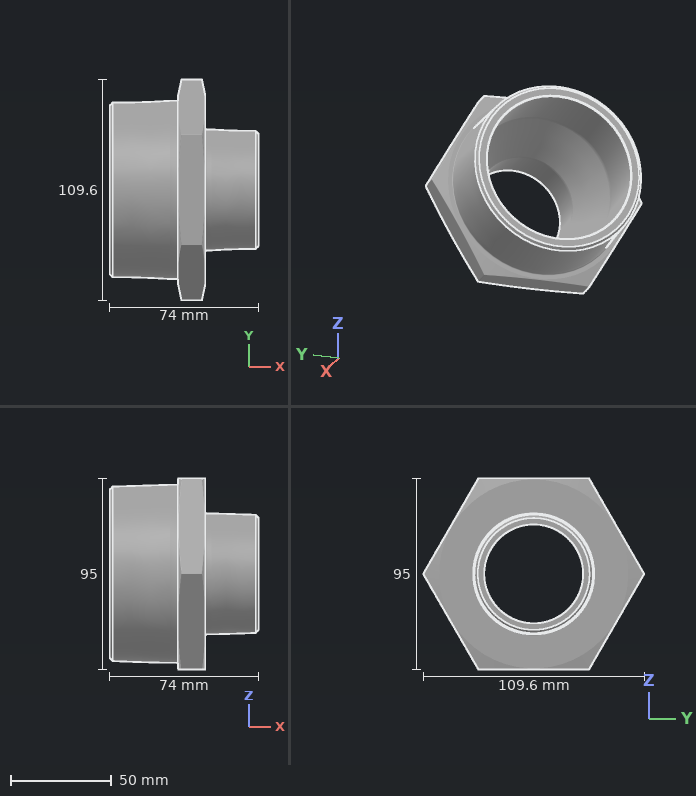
import cadquery as cq
import math

total_length = 74.0
hex_start = 34.0
hex_end = 47.5
large_taper_end = 29.9
small_taper_start = 50.6

large_diameter = 88.5
small_diameter = 60.1
diameter_taper = 1 / 16
end_chamfer = 1.6
root_fillet = 0.5

across_flats = 95.0
hex_face_diameter = 93.8
hex_chamfer_angle = 12.0
hex_edge_round = 0.3
rim_clearance = 1.1

large_bore_diameter = 75.0
small_bore_diameter = 49.0
large_bore_depth = 31.8
bore_cone_half_angle = 30.0
cone_inlet_round = 3.3
cone_outlet_round = 2.2
bore_entry_chamfer = 0.3

selection_margin = 0.1
across_corners = across_flats / math.cos(math.radians(30))


def revolve_about_x(points):
    """Solid of revolution about X from (x, radius) points, with its seam clear of the hexagon corners."""
    profile = cq.Workplane("XZ").polyline(points).close()
    return profile.revolve(360, (0, 0, 0), (1, 0, 0))


def circles_up_to(x, radius):
    """Selector for edges at position x that lie within the given radius."""
    reach = radius + selection_margin
    return cq.selectors.BoxSelector(
        (x - selection_margin, -reach, -reach),
        (x + selection_margin, reach, reach),
        boundingbox=True,
    )


def make_hexagon():
    """Collar with flats at top and bottom, coned at both ends, the edges of its flats rounded."""
    prism = (
        cq.Workplane("YZ")
        .workplane(offset=hex_start)
        .polygon(6, across_corners)
        .extrude(hex_end - hex_start)
    )
    face_radius = hex_face_diameter / 2
    rim_radius = across_corners / 2 + rim_clearance
    rim_depth = (rim_radius - face_radius) * math.tan(math.radians(hex_chamfer_angle))
    turned_envelope = revolve_about_x([
        (hex_start, 0),
        (hex_start, face_radius),
        (hex_start + rim_depth, rim_radius),
        (hex_end - rim_depth, rim_radius),
        (hex_end, face_radius),
        (hex_end, 0),
    ])
    blank = prism.intersect(turned_envelope)
    flats = blank.faces("%PLANE").faces("not |X")
    return flats.edges().fillet(hex_edge_round)


def make_spigots():
    """Both tapered spigots, meeting inside the collar."""
    large_radius = large_diameter / 2
    small_radius = small_diameter / 2
    large_taper_length = large_taper_end - end_chamfer
    small_taper_length = total_length - end_chamfer - small_taper_start
    large_tip_radius = large_radius - large_taper_length * diameter_taper / 2
    small_tip_radius = small_radius - small_taper_length * diameter_taper / 2
    hex_middle = (hex_start + hex_end) / 2
    return revolve_about_x([
        (0, 0),
        (0, large_tip_radius - end_chamfer),
        (end_chamfer, large_tip_radius),
        (large_taper_end, large_radius),
        (hex_middle, large_radius),
        (hex_middle, small_radius),
        (small_taper_start, small_radius),
        (total_length - end_chamfer, small_tip_radius),
        (total_length, small_tip_radius - end_chamfer),
        (total_length, 0),
    ])


def make_bore():
    """Through bore: a wide entry narrowing along a cone with rounded ends."""
    large_radius = large_bore_diameter / 2
    small_radius = small_bore_diameter / 2
    cone_length = (large_radius - small_radius) / math.tan(math.radians(bore_cone_half_angle))
    cone_end = large_bore_depth + cone_length
    bore = revolve_about_x([
        (0, 0),
        (0, large_radius + bore_entry_chamfer),
        (bore_entry_chamfer, large_radius),
        (large_bore_depth, large_radius),
        (cone_end, small_radius),
        (total_length, small_radius),
        (total_length, 0),
    ])
    bore = bore.edges(circles_up_to(large_bore_depth, large_radius)).fillet(cone_inlet_round)
    return bore.edges(circles_up_to(cone_end, small_radius)).fillet(cone_outlet_round)


body = make_hexagon().union(make_spigots())
body = body.edges(circles_up_to(hex_start, large_diameter / 2)).fillet(root_fillet)
body = body.edges(circles_up_to(hex_end, small_diameter / 2)).fillet(root_fillet)
result = body.cut(make_bore())